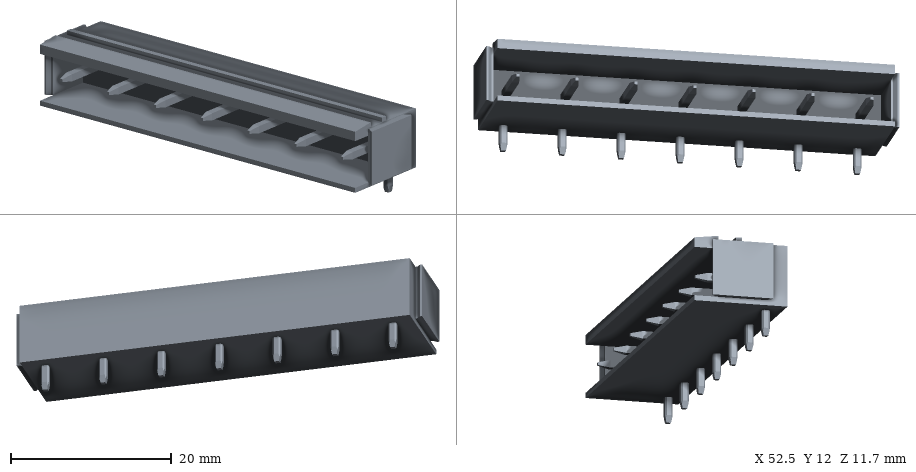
import math

import cadquery as cq

housing_length = 50.5
housing_depth = 12.0
housing_height = 7.8
floor_thickness = 0.65
back_wall_thickness = 3.5

lip_underside = 6.85
lip_depth = 3.1
lip_flat = 0.3
lip_top = 8.45
lip_front_top = 8.08

ridge_back_y = 6.1
ridge_width = 0.78
ridge_foot_radius = 0.12

plate_thickness = 1.0
plate_rim = 0.27
plate_neck = 0.27
plate_front_y = 2.1
plate_back_y = 9.9
plate_flare = 0.45
plate_top_z = housing_height - 0.05

pin_count = 7
pin_pitch = 7.5
pin_row_y = 9.9
pin_contact_z = 3.75
pin_front_y = 0.8
pin_bottom_z = -3.25
contact_width = 0.95
contact_tip_length = 1.5
contact_tip_width = 0.36
tail_width = 1.0
tail_corner = 0.2
tail_tip_length = 0.95
tail_tip_width = 0.6


def housing_profile():
    """C-shaped cross-section in the YZ plane, open to the front, with the top ridge and lip."""
    ridge_front_y = ridge_back_y - ridge_width
    foot_y = ridge_front_y - ridge_foot_radius
    foot_z = housing_height + ridge_foot_radius
    foot_middle = ridge_foot_radius * math.sqrt(0.5)
    cavity_back_y = housing_depth - back_wall_thickness
    return (
        cq.Workplane("YZ")
        .moveTo(0, 0)
        .lineTo(housing_depth, 0)
        .lineTo(housing_depth, housing_height)
        .lineTo(ridge_back_y, housing_height)
        .lineTo(ridge_back_y, lip_top)
        .lineTo(ridge_front_y, lip_top)
        .lineTo(ridge_front_y, foot_z)
        .threePointArc((foot_y + foot_middle, foot_z - foot_middle), (foot_y, housing_height))
        .lineTo(lip_depth, housing_height)
        .lineTo(lip_depth, lip_top)
        .lineTo(lip_depth - lip_flat, lip_top)
        .lineTo(0, lip_front_top)
        .lineTo(0, lip_underside)
        .lineTo(cavity_back_y, lip_underside)
        .lineTo(cavity_back_y, floor_thickness)
        .lineTo(0, floor_thickness)
        .close()
    )


def end_plate():
    """Dovetail plate on the +X end: a narrow neck flaring out to a wide rim."""
    inner_x = housing_length / 2
    outer_x = inner_x + plate_thickness
    neck_x = inner_x + plate_neck
    rim_x = outer_x - plate_rim
    neck_front_y = plate_front_y + plate_flare
    neck_back_y = plate_back_y - plate_flare
    points = [
        (inner_x, neck_front_y),
        (neck_x, neck_front_y),
        (rim_x, plate_front_y),
        (outer_x, plate_front_y),
        (outer_x, plate_back_y),
        (rim_x, plate_back_y),
        (neck_x, neck_back_y),
        (inner_x, neck_back_y),
    ]
    base = cq.Workplane("XY", origin=(0, 0, floor_thickness))
    return base.polyline(points).close().extrude(plate_top_z - floor_thickness)


def tapered_leg(width, length, tip_length, tip_width):
    """Square pin leg rising from the origin along +Z, with a tapered tip."""
    straight_length = length - tip_length
    bar = cq.Workplane("XY").rect(width, width).extrude(straight_length)
    tip = (
        bar.faces(">Z")
        .workplane()
        .rect(width, width)
        .workplane(offset=tip_length)
        .rect(tip_width, tip_width)
        .loft(combine=False)
    )
    return bar.union(tip)


def bevelled_bar(width, length, corner):
    """Square bar along +Z with its long corners bevelled."""
    return cq.Workplane("XY").rect(width, width).extrude(length).edges("|Z").chamfer(corner)


def angled_pin(x):
    """L-shaped pin: a square contact pointing to the front and a bevelled tail pointing down."""
    elbow = (x, pin_row_y, pin_contact_z)
    contact_length = pin_row_y - pin_front_y
    contact = tapered_leg(contact_width, contact_length, contact_tip_length, contact_tip_width)
    contact = contact.rotate((0, 0, 0), (1, 0, 0), 90).translate(elbow)
    tail_length = pin_contact_z - pin_bottom_z
    tail = tapered_leg(tail_width, tail_length, tail_tip_length, tail_tip_width)
    tail = tail.intersect(bevelled_bar(tail_width, tail_length, tail_corner))
    tail = tail.rotate((0, 0, 0), (1, 0, 0), 180).translate(elbow)
    elbow_block = cq.Workplane("XY").box(contact_width, contact_width, contact_width).translate(elbow)
    return contact.union(tail).union(elbow_block)


pins = []
for index in range(pin_count):
    pin_x = (index - (pin_count - 1) / 2) * pin_pitch
    pins.append(angled_pin(pin_x))

housing = housing_profile().extrude(housing_length / 2, both=True)
housing = housing.union(end_plate()).union(end_plate().mirror("YZ"))
for pin in pins:
    housing = housing.cut(pin)

result = cq.Compound.makeCompound([housing.val()] + [pin.val() for pin in pins])